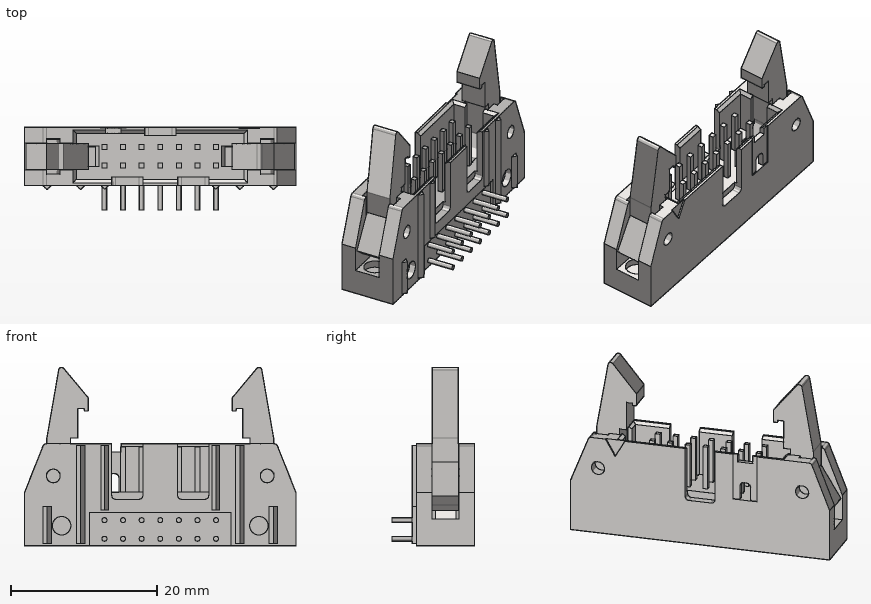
import cadquery as cq
import math


body_length = 37.08
body_depth = 7.98
body_height = 13.95
overall_depth = 11.33
overall_height = 24.38

front_y = -body_depth / 2
back_y = body_depth / 2
end_x = body_length / 2

margin = 0.1

shoulder_z = 7.3
shoulder_top_x = 15.9
shoulder_radius = 0.5

wall = 0.85
cavity_length = 22.9
cavity_depth = body_depth - 2 * wall
cavity_floor_z = 7.34
lead_in_width = 0.48
lead_in_height = 0.36

window_width = 4.25
window_x = 4.5
window_depth = 1.15
window_sill_z = 6.36
window_radius = 0.52

tail_recess_length = 19.35
tail_recess_height = 4.55
tail_recess_depth = 0.45

notch_x = -6.41
notch_width = 2.15
notch_bottom_z = 12.83
back_hole_width = 1.54
back_hole_top_z = 9.85
back_hole_radius = 0.6
relief_width = 3.44
relief_depth = 0.15

mark_x = 12.15
mark_width = 2.75
mark_height = mark_width * math.sin(math.radians(60))
mark_depth = 0.22

front_hole_x = 13.47
front_hole_z = 2.75
front_hole_radius = 1.26
front_hole_depth = 0.9
floor_hole_x = 16.45
floor_hole_radius = 1.5
floor_hole_depth = 1.0

long_rib_top_z = 13.73
rib_bottom_z = 0.31
ribs = [
    (15.46, rib_bottom_z, 5.36, 1.17, 0.56),
    (10.87, rib_bottom_z, long_rib_top_z, 1.17, 0.56),
    (7.58, 4.91, long_rib_top_z, 1.06, 0.5),
]

slot_width = 3.7
slot_floor_z = 3.69
slot_inner_x = 12.0
passage_width = 2.8
groove_span = 4.86
ramp_top_x = 8.35

pivot_x = 14.6
pivot_z = 9.55
pivot_radius = 0.93
pivot_length = 4.7

latch_width = 3.57
foot_width = 2.7
latch_tip_x = 13.48
latch_tip_outer_x = 13.88
latch_tip_outer_z = 24.05
latch_tip_inner_x = 13.18
latch_tip_inner_z = 24.25
latch_outer_x = 15.5
latch_outer_top_z = 14.72
latch_outer_low_z = 11.45
lever_x = 18.35
lever_z = 6.8
latch_bottom_z = 4.8
lever_bend_z = 5.6
lever_underside_angle = math.radians(40)
latch_offset_y = -0.04
latch_inner_x = 12.25
latch_step_z = 14.73
latch_neck_x = 11.24
hook_x = 9.8
hook_top_z = 20.2
hook_under_z = 18.75
hook_lip_width = 0.58
hook_lip_z = 18.4
hook_lip_radius = 0.15
foot_tip_x = 8.85
foot_top_z = 7.0
foot_tip_thickness = 0.2
foot_blend_radius = 2.4

pitch = 2.54
columns = 7
pin_size = 0.66
pin_top_z = 13.5
tail_diameter = 0.68
lower_tail_z = 0.97


def box(x0, x1, y0, y1, z0, z1):
    """Axis-aligned box between two opposite corners."""
    return cq.Workplane("XY").box(x1 - x0, y1 - y0, z1 - z0, centered=False).translate((x0, y0, z0))


def prism_y(outline, width):
    """Extrude an XZ outline symmetrically about Y = 0."""
    return outline.extrude(width / 2, both=True)


def cylinder_y(x, z, radius, y0, y1):
    """Cylinder along Y from y0 to y1."""
    return cq.Workplane("XZ", origin=(x, y0, z)).circle(radius).extrude(y0 - y1)


def both_ends(solid):
    """The left-hand shape together with its mirror image at the right-hand end."""
    return solid.union(solid.mirror("YZ"))


def housing_block():
    outline = cq.Workplane("XZ").polyline([
        (-end_x, 0),
        (end_x, 0),
        (end_x, shoulder_z),
        (shoulder_top_x, body_height),
        (-shoulder_top_x, body_height),
        (-end_x, shoulder_z),
    ]).close()
    block = prism_y(outline, body_depth)
    top_edges = cq.selectors.BoxSelector(
        (-end_x, front_y, body_height - margin),
        (end_x, back_y, body_height + margin),
    )
    return block.edges("|Y").edges(top_edges).fillet(shoulder_radius)


def cavity():
    pocket = cq.Workplane("XY", origin=(0, 0, cavity_floor_z)).rect(cavity_length, cavity_depth)
    pocket = pocket.extrude(body_height - cavity_floor_z)
    mouth = cq.Workplane("XY", origin=(0, 0, body_height))
    mouth = mouth.rect(cavity_length + 2 * lead_in_width, cavity_depth + 2 * lead_in_width)
    lead_in_angle = math.degrees(math.atan2(lead_in_width, lead_in_height))
    return pocket.union(mouth.extrude(-lead_in_height, taper=lead_in_angle))


def window(x, y0, y1):
    """Wall opening, open at the top, with rounded lower corners."""
    cut = box(x - window_width / 2, x + window_width / 2, y0, y1, window_sill_z, body_height)
    return cut.edges("|Y and <Z").fillet(window_radius)


def back_wall_cuts():
    inner_y = back_y - wall
    notch = box(notch_x - notch_width / 2, notch_x + notch_width / 2, inner_y, back_y,
                notch_bottom_z, body_height)
    hole = box(notch_x - back_hole_width / 2, notch_x + back_hole_width / 2, inner_y, back_y,
               cavity_floor_z, back_hole_top_z)
    hole = hole.edges("|Y and >Z").fillet(back_hole_radius)
    relief = box(notch_x - relief_width / 2, notch_x + relief_width / 2,
                 back_y - relief_depth, back_y, cavity_floor_z, body_height)
    mark = cq.Workplane("XZ", origin=(0, back_y, 0)).polyline([
        (mark_x - mark_width / 2, body_height),
        (mark_x + mark_width / 2, body_height),
        (mark_x, body_height - mark_height),
    ]).close().extrude(mark_depth)
    return notch.union(hole).union(relief).union(mark)


def latch_bay():
    """Everything cut for the left-hand latch: slot, ramp, pivot holes and drop-in grooves."""
    slot = box(-end_x, -slot_inner_x, -slot_width / 2, slot_width / 2, slot_floor_z, body_height)
    passage = box(-slot_inner_x, -cavity_length / 2, -passage_width / 2, passage_width / 2,
                  cavity_floor_z, body_height)
    ramp = prism_y(cq.Workplane("XZ").polyline([
        (-slot_inner_x, slot_floor_z),
        (-ramp_top_x, cavity_floor_z),
        (-slot_inner_x, cavity_floor_z),
    ]).close(), passage_width)
    groove = box(-pivot_x - pivot_radius, -pivot_x + pivot_radius,
                 -groove_span / 2, groove_span / 2, pivot_z, body_height)
    pivot_hole = cylinder_y(-pivot_x, pivot_z, pivot_radius, front_y, back_y)
    front_hole = cylinder_y(-front_hole_x, front_hole_z, front_hole_radius,
                            front_y, front_y + front_hole_depth)
    floor_hole = cq.Workplane("XY", origin=(-floor_hole_x, 0, slot_floor_z))
    floor_hole = floor_hole.circle(floor_hole_radius).extrude(-floor_hole_depth)
    bay = slot.union(passage).union(ramp).union(groove)
    return bay.union(pivot_hole).union(front_hole).union(floor_hole)


def crush_rib(x, z0, z1, width, projection):
    outline = cq.Workplane("XY", origin=(x, front_y, z0)).polyline([
        (-width / 2, 0),
        (0, -projection),
        (width / 2, 0),
    ]).close()
    return outline.extrude(z1 - z0)


def housing():
    body = housing_block().cut(cavity())
    for x in (-window_x, window_x):
        body = body.cut(window(x, front_y, front_y + window_depth))
    body = body.cut(window(0, back_y - window_depth, back_y))
    body = body.cut(back_wall_cuts())
    body = body.cut(both_ends(latch_bay()))
    body = body.cut(box(-tail_recess_length / 2, tail_recess_length / 2,
                        front_y, front_y + tail_recess_depth, 0, tail_recess_height))
    for x, z0, z1, width, projection in ribs:
        for side in (-1, 1):
            body = body.union(crush_rib(side * x, z0, z1, width, projection))
    return body


def latch():
    """Left-hand latch: hooked arm, outer lever, ejector foot and pivot pin."""
    lip_inner_x = hook_x + hook_lip_width
    lever_bend_x = lever_x - (lever_z - lever_bend_z) / math.tan(lever_underside_angle)
    underside_radius = (lever_bend_z - latch_bottom_z) / (1 - math.cos(lever_underside_angle))
    bottom_outer_x = lever_bend_x - underside_radius * math.sin(lever_underside_angle)
    arm_outline = (
        cq.Workplane("XZ")
        .moveTo(-lever_x, lever_z)
        .lineTo(-lever_bend_x, lever_bend_z)
        .tangentArcPoint((-bottom_outer_x, latch_bottom_z), relative=False)
        .lineTo(-latch_inner_x, latch_bottom_z)
        .lineTo(-latch_inner_x, latch_step_z)
        .lineTo(-latch_neck_x, latch_step_z)
        .lineTo(-latch_neck_x, hook_under_z)
        .lineTo(-lip_inner_x, hook_under_z)
        .lineTo(-lip_inner_x, hook_lip_z)
        .lineTo(-hook_x, hook_lip_z)
        .lineTo(-hook_x, hook_top_z)
        .lineTo(-latch_tip_inner_x, latch_tip_inner_z)
        .threePointArc((-latch_tip_x, overall_height), (-latch_tip_outer_x, latch_tip_outer_z))
        .lineTo(-latch_outer_x, latch_outer_top_z)
        .lineTo(-latch_outer_x, latch_outer_low_z)
        .close()
    )
    arm = prism_y(arm_outline, latch_width)
    lip_edges = cq.selectors.BoxSelector(
        (-lip_inner_x - margin, -latch_width, hook_lip_z - margin),
        (-hook_x + margin, latch_width, hook_lip_z + margin),
    )
    arm = arm.edges("|Y").edges(lip_edges).fillet(hook_lip_radius)
    foot_outline = (
        cq.Workplane("XZ")
        .moveTo(-latch_inner_x, latch_bottom_z)
        .lineTo(-foot_tip_x - (foot_top_z - latch_bottom_z), latch_bottom_z)
        .lineTo(-foot_tip_x, foot_top_z - foot_tip_thickness)
        .lineTo(-foot_tip_x, foot_top_z)
        .lineTo(-latch_inner_x + foot_blend_radius, foot_top_z)
        .radiusArc((-latch_inner_x, foot_top_z + foot_blend_radius), foot_blend_radius)
        .close()
    )
    foot = prism_y(foot_outline, foot_width)
    pivot = cylinder_y(-pivot_x, pivot_z, pivot_radius, -pivot_length / 2, pivot_length / 2)
    return arm.union(foot).union(pivot).translate((0, latch_offset_y, 0))


def contacts():
    """Two rows of square posts in the cavity and two rows of round tails at the front."""
    tail_end_y = back_y - overall_depth
    pins = cq.Workplane("XY")
    for column in range(columns):
        x = (column - (columns - 1) / 2) * pitch
        for row in range(2):
            y = (row - 0.5) * pitch
            tail_z = lower_tail_z + row * pitch
            post = box(x - pin_size / 2, x + pin_size / 2, y - pin_size / 2, y + pin_size / 2,
                       tail_z, pin_top_z)
            tail = cylinder_y(x, tail_z, tail_diameter / 2, tail_end_y, y)
            pins = pins.add(post).add(tail)
    return pins.combine()


result = housing().union(both_ends(latch())).union(contacts())